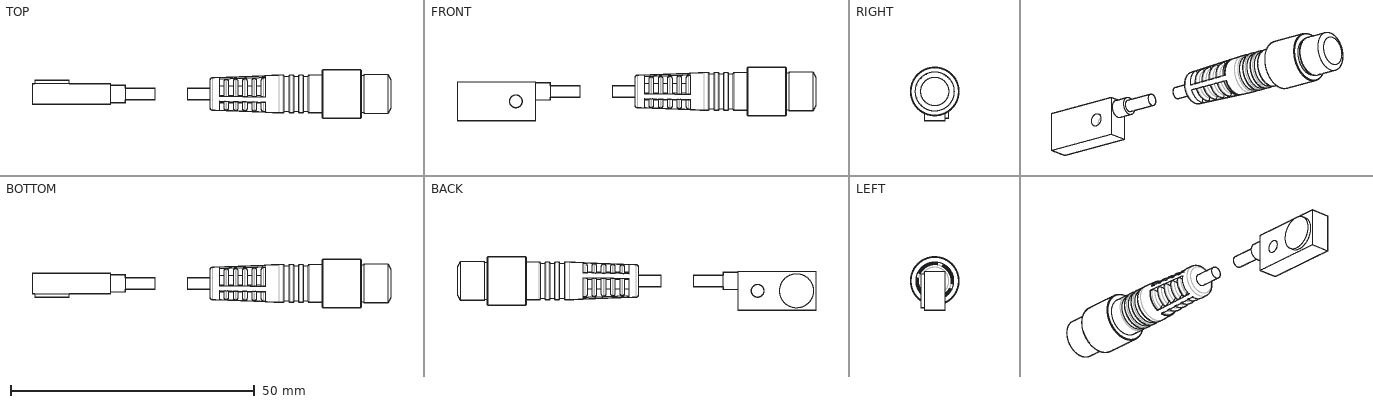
import cadquery as cq
import math

total_length = 73.55
cable_diameter = 2.4

block_length = 16.0
block_width = 4.3
block_height = 8.0
axis_below_block_top = 2.0
mount_hole_diameter = 2.6
mount_hole_x = 12.0
face_disc_diameter = 7.0
face_disc_height = 0.7
ferrule_diameter = 3.6
ferrule_length = 3.0
sensor_cable_length = 6.1

plug_cable_start = 31.8
boot_start = 36.4
taper_end = 50.5
collar_start = 59.4
collar_length = 8.0
nose_length = 5.5

boot_end_diameter = 6.7
barrel_diameter = 7.8
groove_diameter = 7.2
collar_diameter = 10.0
neck_diameter = 7.65
nose_diameter = 8.0
nose_end_diameter = 5.8

boot_end_fillet = 0.5
collar_chamfer = 0.15
nose_chamfer_length = 0.6

groove_count = 3
groove_width = 0.95
groove_edge_radius = 0.2
groove_pitch = 2.0
first_groove_start = 51.6

window_start = 38.3
window_end = 47.8
window_count = 4
slot_count = 5
slot_pitch = 1.9
slot_width = 0.95
rib_recess = 0.15
rib_fillet = 0.45
core_diameter = 3.6
bar_arc_angle = 18.0
bar_center_angle = 18.0


def rod(diameter, start, end):
    """Cylinder on the cable axis between two X positions."""
    return cq.Workplane("YZ", origin=(start, 0, 0)).circle(diameter / 2).extrude(end - start)


def boot_radius(x):
    """Radius of the tapered boot at a position along X."""
    fraction = (x - boot_start) / (taper_end - boot_start)
    return (boot_end_diameter + fraction * (barrel_diameter - boot_end_diameter)) / 2


def make_sensor():
    """Sensor block with a mounting hole, a disc on its back face, a ferrule and a cable stub."""
    block_middle_z = axis_below_block_top - block_height / 2
    ferrule_end = block_length + ferrule_length

    block = cq.Workplane("XY").box(block_length, block_width, block_height)
    block = block.translate((block_length / 2, 0, block_middle_z))

    mount_hole = (
        cq.Workplane("XZ", origin=(mount_hole_x, 0, block_middle_z))
        .circle(mount_hole_diameter / 2)
        .extrude(block_width, both=True)
    )
    face_disc = (
        cq.Workplane("XZ", origin=(block_height / 2, block_width / 2, block_middle_z))
        .circle(face_disc_diameter / 2)
        .extrude(-face_disc_height)
    )
    ferrule = rod(ferrule_diameter, block_length, ferrule_end)
    cable = rod(cable_diameter, ferrule_end, ferrule_end + sensor_cable_length)
    return block.cut(mount_hole).union(face_disc).union(ferrule).union(cable)


def make_boot():
    """Tapered boot with a rounded cable end, running on as a straight barrel to the collar."""
    outline = [
        (boot_start, 0),
        (boot_start, boot_end_diameter / 2),
        (taper_end, barrel_diameter / 2),
        (collar_start, barrel_diameter / 2),
        (collar_start, 0),
    ]
    boot = cq.Workplane("XY").polyline(outline).close().revolve(360, (0, 0, 0), (1, 0, 0))
    return boot.faces("<X").edges().fillet(boot_end_fillet)


def arc_inset(radius):
    """Distance from the corner of a rounded edge to the midpoint of its arc, along either side."""
    return radius * (1 - math.sqrt(0.5))


def make_grip_groove(start):
    """Ring that cuts one grip groove, with rounded outer edges, into the barrel."""
    end = start + groove_width
    barrel_radius = barrel_diameter / 2
    shoulder_radius = barrel_radius - groove_edge_radius
    inset = arc_inset(groove_edge_radius)
    profile = (
        cq.Workplane("XY")
        .moveTo(start - groove_edge_radius, barrel_radius)
        .threePointArc((start - inset, barrel_radius - inset), (start, shoulder_radius))
        .lineTo(start, groove_diameter / 2)
        .lineTo(end, groove_diameter / 2)
        .lineTo(end, shoulder_radius)
        .threePointArc((end + inset, barrel_radius - inset), (end + groove_edge_radius, barrel_radius))
        .close()
    )
    return profile.revolve(360, (0, 0, 0), (1, 0, 0))


def make_window_cutter():
    """Sector of a ring that cuts one window and leaves its rounded ribs."""
    core_radius = core_diameter / 2
    outer_radius = collar_diameter / 2
    inset = arc_inset(rib_fillet)

    profile = cq.Workplane("XY").moveTo(window_start, outer_radius).lineTo(window_start, core_radius)
    for index in range(slot_count):
        rib_start = window_start + index * slot_pitch + slot_width
        is_last = index == slot_count - 1
        rib_end = window_end if is_last else window_start + (index + 1) * slot_pitch
        rib_radius = boot_radius((rib_start + rib_end) / 2) - rib_recess

        profile = (
            profile.lineTo(rib_start, core_radius)
            .lineTo(rib_start, rib_radius - rib_fillet)
            .threePointArc(
                (rib_start + inset, rib_radius - inset),
                (rib_start + rib_fillet, rib_radius),
            )
        )
        if is_last:
            profile = profile.lineTo(window_end, rib_radius)
        else:
            profile = (
                profile.lineTo(rib_end - rib_fillet, rib_radius)
                .threePointArc(
                    (rib_end - inset, rib_radius - inset),
                    (rib_end, rib_radius - rib_fillet),
                )
                .lineTo(rib_end, core_radius)
            )
    profile = profile.lineTo(window_end, outer_radius).close()
    return profile.revolve(360 / window_count - bar_arc_angle, (0, 0, 0), (1, 0, 0))


def make_nose(start):
    """Cylindrical nose with a steep chamfer down to its smaller end face."""
    outline = [
        (start, 0),
        (start, nose_diameter / 2),
        (total_length - nose_chamfer_length, nose_diameter / 2),
        (total_length, nose_end_diameter / 2),
        (total_length, 0),
    ]
    return cq.Workplane("XY").polyline(outline).close().revolve(360, (0, 0, 0), (1, 0, 0))


def make_plug():
    """Cable stub, boot, collar and nose of the plug as one solid."""
    collar_end = collar_start + collar_length
    nose_start = total_length - nose_length

    boot = make_boot()
    for index in range(groove_count):
        boot = boot.cut(make_grip_groove(first_groove_start + index * groove_pitch))
    window_cutter = make_window_cutter()
    for index in range(window_count):
        window_angle = bar_center_angle + bar_arc_angle / 2 + index * 360 / window_count
        boot = boot.cut(window_cutter.rotate((0, 0, 0), (1, 0, 0), window_angle))

    cable = rod(cable_diameter, plug_cable_start, boot_start)
    collar = rod(collar_diameter, collar_start, collar_end).edges().chamfer(collar_chamfer)
    neck = rod(neck_diameter, collar_end, nose_start)
    nose = make_nose(nose_start)
    return boot.union(cable).union(collar).union(neck).union(nose)


sensor = make_sensor()
plug = make_plug()

result = cq.Compound.makeCompound([sensor.solids().val(), plug.solids().val()])